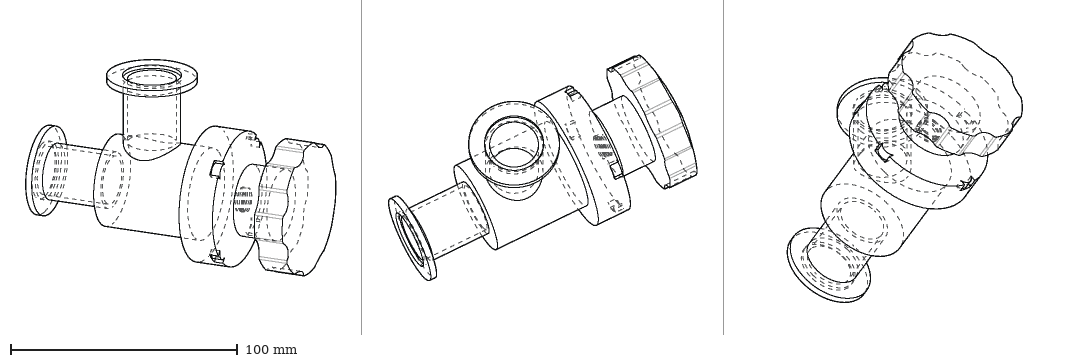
import cadquery as cq
import math


CUT_CLEARANCE = 0.1

FLANGE_DIA = 40.1
FLANGE_RIM = 2.9
FLANGE_THICKNESS = 4.9
TUBE_DIA = 25.4
BORE_DIA = 21.5
RECESS_DIA = 26.0
RECESS_DEPTH = 1.6

BODY_START = 32.9
BODY_DIA = 41.3
BONNET_START = 78.0
BONNET_END = 94.1
BONNET_DIA = 60.7
SIDE_PORT_X = 52.0
OVERALL_HEIGHT = 82.4
SIDE_PORT_HEIGHT = OVERALL_HEIGHT - BONNET_DIA / 2
SIDE_BORE_DEPTH = SIDE_PORT_HEIGHT - BODY_DIA / 2

NOTCH_COUNT = 4
NOTCH_WIDTH = 7.2
NOTCH_LENGTH = 4.1
NOTCH_FLOOR_RADIUS = 4.0
NOTCH_CROWN = 29.7

STEM_DIA = 10.9
THREAD_PITCH = 2.0
THREAD_DEPTH = 0.8
GROOVE_WIDTH = 1.2
THREAD_OVERRUN = 0.7

HUB_START = 98.0
HUB_DIA = 32.1
KNOB_START = 114.0
KNOB_EDGE = 127.4
KNOB_END = 132.7
KNOB_RADIUS = 30.0
SCALLOP_COUNT = 8
SCALLOP_RADIUS = 9.3
SCALLOP_BOTTOM = 27.6
LOBE_EDGE_FILLET = 2.0


def disc(start, end, diameter):
    """Cylinder on the main axis between two X positions."""
    return cq.Workplane("YZ").workplane(offset=start).circle(diameter / 2).extrude(end - start)


def port_outside(length):
    """Flanged tube with its face at Z = 0 and its tube running down."""
    rim_radius = FLANGE_DIA / 2
    tube_radius = TUBE_DIA / 2
    return (
        cq.Workplane("XZ")
        .moveTo(0, 0)
        .lineTo(rim_radius, 0)
        .lineTo(rim_radius, -FLANGE_RIM)
        .lineTo(tube_radius, -FLANGE_THICKNESS)
        .lineTo(tube_radius, -length)
        .lineTo(0, -length)
        .close()
        .revolve(360, (0, 0, 0), (0, 1, 0))
    )


def port_inside(bore_depth):
    """Centring recess and blind bore, from a face at Z = 0 downwards."""
    recess = cq.Workplane("XY").circle(RECESS_DIA / 2).extrude(-RECESS_DEPTH)
    bore = cq.Workplane("XY").circle(BORE_DIA / 2).extrude(-bore_depth)
    return recess.union(bore)


def as_inlet(shape):
    """Turn a port so that its face looks toward -X at X = 0."""
    return shape.rotate((0, 0, 0), (0, 1, 0), -90)


def as_side_port(shape):
    """Move a port so that its face looks up above the body."""
    return shape.translate((SIDE_PORT_X, 0, SIDE_PORT_HEIGHT))


def bonnet():
    """Wide plate behind the body, with open notches for a pin wrench."""
    plate = disc(BONNET_START, BONNET_END, BONNET_DIA)
    outer = BONNET_DIA / 2 + CUT_CLEARANCE
    half = NOTCH_WIDTH / 2
    floor_edge = NOTCH_CROWN - NOTCH_FLOOR_RADIUS + math.sqrt(NOTCH_FLOOR_RADIUS**2 - half**2)
    notch = (
        cq.Workplane("YZ")
        .workplane(offset=BONNET_END - NOTCH_LENGTH)
        .moveTo(outer, -half)
        .lineTo(floor_edge, -half)
        .threePointArc((NOTCH_CROWN, 0), (floor_edge, half))
        .lineTo(outer, half)
        .close()
        .extrude(NOTCH_LENGTH)
    )
    step = 360 / NOTCH_COUNT
    for i in range(NOTCH_COUNT):
        plate = plate.cut(notch.rotate((0, 0, 0), (1, 0, 0), (i + 0.5) * step))
    return plate


def stem():
    """Short rod between bonnet and hub with a right-hand V thread."""
    radius = STEM_DIA / 2
    start = BONNET_END - THREAD_OVERRUN
    length = HUB_START + THREAD_OVERRUN - start
    rod = cq.Workplane("XY").circle(radius).extrude(length)
    half_width = GROOVE_WIDTH / 2 * (THREAD_DEPTH + CUT_CLEARANCE) / THREAD_DEPTH
    helix = cq.Wire.makeHelix(THREAD_PITCH, length, radius)
    groove = (
        cq.Workplane("XZ")
        .moveTo(radius + CUT_CLEARANCE, -half_width)
        .lineTo(radius - THREAD_DEPTH, 0)
        .lineTo(radius + CUT_CLEARANCE, half_width)
        .close()
        .sweep(cq.Workplane(obj=helix), isFrenet=True)
    )
    return rod.cut(groove).rotate((0, 0, 0), (0, 1, 0), 90).translate((start, 0, 0))


def knob():
    """Domed hand wheel with scalloped rim, and its hub."""
    wheel = disc(KNOB_START, KNOB_END, 2 * KNOB_RADIUS)
    scallop = (
        cq.Workplane("YZ")
        .workplane(offset=KNOB_START)
        .center(SCALLOP_BOTTOM + SCALLOP_RADIUS, 0)
        .circle(SCALLOP_RADIUS)
        .extrude(KNOB_END - KNOB_START)
    )
    step = 360 / SCALLOP_COUNT
    for i in range(SCALLOP_COUNT):
        wheel = wheel.cut(scallop.rotate((0, 0, 0), (1, 0, 0), (i + 0.5) * step))
    wheel = wheel.edges("|X").fillet(LOBE_EDGE_FILLET)

    dome_height = KNOB_END - KNOB_EDGE
    dome_radius = (KNOB_RADIUS**2 + dome_height**2) / (2 * dome_height)
    dome = cq.Workplane("XY").sphere(dome_radius).translate((KNOB_END - dome_radius, 0, 0))
    return wheel.intersect(dome).union(disc(HUB_START, KNOB_START, HUB_DIA))


result = (
    disc(BODY_START, BONNET_START, BODY_DIA)
    .union(as_inlet(port_outside(BODY_START)))
    .union(as_side_port(port_outside(SIDE_PORT_HEIGHT)))
    .union(bonnet())
    .union(stem())
    .union(knob())
    .cut(as_inlet(port_inside(BODY_START)))
    .cut(as_side_port(port_inside(SIDE_BORE_DEPTH)))
)